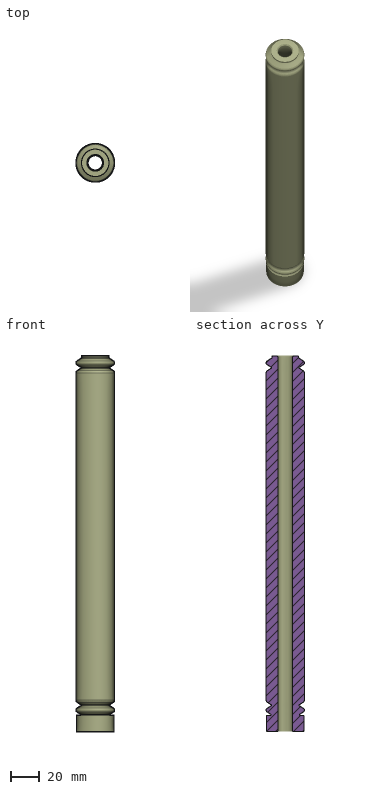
import cadquery as cq
import math

length = 261.7
body_radius = 27.0 / 2
cap_neck_radius = 20.5 / 2
waist_radius = 19.0 / 2
bore_radius = 10.0 / 2
bore_chamfer = 0.8
cap_radius = 13.0
cap_height = 11.8
top_bead_inset = 5.0
bottom_bead_height = 15.2
crest_round = 1.5
shoulder_round = 2.0
flank_angle = math.radians(57)

apex_radius = body_radius + crest_round * (1 / math.cos(flank_angle) - 1)


def flank_height(inner_radius, outer_radius):
    """Axial height of a conical flank between two radii."""
    return (outer_radius - inner_radius) / math.tan(flank_angle)


neck_to_crest = flank_height(cap_neck_radius, apex_radius)
crest_to_waist = flank_height(waist_radius, apex_radius)
waist_to_body = flank_height(waist_radius, body_radius)

lower_crest = bottom_bead_height
lower_waist = lower_crest + crest_to_waist
body_bottom = lower_waist + waist_to_body
upper_crest = length - top_bead_inset
upper_waist = upper_crest - crest_to_waist
body_top = upper_waist - waist_to_body

edge_search_margin = 0.03


def round_circles(solid, radius, heights, fillet_radius):
    """Fillet the circular edges of the given radius at each height."""
    for z in heights:
        edge = cq.selectors.BoxSelector(
            (-2 * radius, -2 * radius, z - edge_search_margin),
            (2 * radius, 2 * radius, z + edge_search_margin),
        )
        solid = solid.edges(edge).fillet(fillet_radius)
    return solid


half_section = [
    (0, 0),
    (cap_radius, 0),
    (cap_radius, cap_height),
    (cap_neck_radius, cap_height),
    (cap_neck_radius, lower_crest - neck_to_crest),
    (apex_radius, lower_crest),
    (waist_radius, lower_waist),
    (body_radius, body_bottom),
    (body_radius, body_top),
    (waist_radius, upper_waist),
    (apex_radius, upper_crest),
    (waist_radius, upper_crest + crest_to_waist),
    (waist_radius, length),
    (0, length),
]
rod = cq.Workplane("XZ").polyline(half_section).close().revolve(360, (0, 0, 0), (0, 1, 0))

rod = round_circles(rod, apex_radius, (lower_crest, upper_crest), crest_round)
rod = round_circles(rod, body_radius, (body_bottom, body_top), shoulder_round)

mouth_diameter = 2 * (bore_radius + bore_chamfer)
mouth_angle = 90
result = rod.faces(">Z").workplane().cskHole(2 * bore_radius, mouth_diameter, mouth_angle)